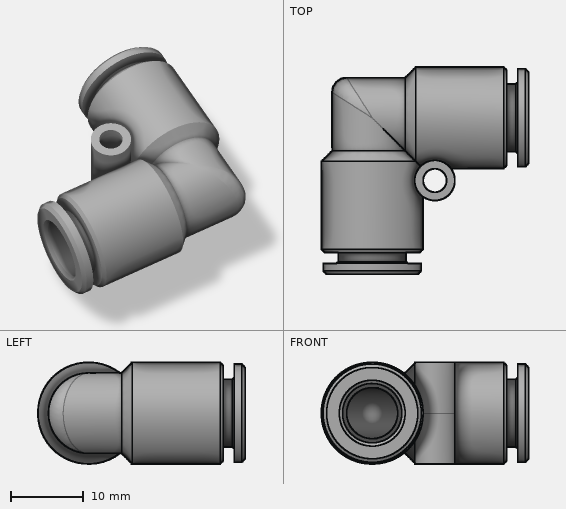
import cadquery as cq

overall_length = 28.5
body_radius = 6.997
arm_length = overall_length - body_radius

elbow_radius = 5.53
corner_fillet = 2.0

body_start = 5.98
cone_start = body_start - (body_radius - elbow_radius)
body_end = 18.5
body_chamfer = 0.45
neck_radius = 4.67
neck_flare = 0.23
collar_start = 19.98
collar_radius = 6.75
collar_chamfer = 0.48

passage_radius = 3.5
socket_radius = 4.08
socket_floor = body_start
mouth_chamfer = 0.45

eyelet_offset = 8.6
eyelet_radius = 2.76
eyelet_hole_radius = 1.6


def to_second_arm(shape):
    """Turn a shape that is round about X onto the -Y arm."""
    return shape.rotate((0, 0, 0), (0, 0, 1), -90)


def x_cylinder(radius, start, end):
    return cq.Workplane("YZ", origin=(start, 0, 0)).circle(radius).extrude(end - start)


def mitered_tubes(radius, length):
    """Two round arms of one radius, meeting in a sharp miter."""
    arm = x_cylinder(radius, 0, length)
    long_arm = x_cylinder(radius, -2 * radius, 2 * radius)
    corner = long_arm.intersect(to_second_arm(long_arm))
    return arm.union(to_second_arm(arm)).union(corner).clean()


def revolve_about_x(points):
    return cq.Workplane("XY").polyline(points).close().revolve(360, (0, 0, 0), (1, 0, 0))


def arm_shell():
    return revolve_about_x([
        (cone_start, 0),
        (cone_start, elbow_radius),
        (body_start, body_radius),
        (body_end - body_chamfer, body_radius),
        (body_end, body_radius - body_chamfer),
        (body_end, neck_radius),
        (collar_start - neck_flare, neck_radius),
        (collar_start, neck_radius + neck_flare),
        (collar_start, collar_radius),
        (arm_length - collar_chamfer, collar_radius),
        (arm_length, collar_radius - collar_chamfer),
        (arm_length, 0),
    ])


def tube_socket():
    return revolve_about_x([
        (socket_floor, 0),
        (socket_floor, socket_radius),
        (arm_length - mouth_chamfer, socket_radius),
        (arm_length, socket_radius + mouth_chamfer),
        (arm_length, 0),
    ])


def eyelet_cylinder(radius):
    return (
        cq.Workplane("XY")
        .center(eyelet_offset, -eyelet_offset)
        .circle(radius)
        .extrude(body_radius, both=True)
    )


def rounded_elbow():
    """Mitered elbow, split through the Z axis so that only its outer miter edge is rounded."""
    elbow = mitered_tubes(elbow_radius, cone_start)
    splitter_size = 4 * body_radius
    outer_side = (
        cq.Workplane("XY")
        .box(splitter_size, splitter_size, splitter_size)
        .translate((-splitter_size / 2, 0, 0))
        .rotate((0, 0, 0), (0, 0, 1), -45)
    )
    outer_corner = cq.selectors.NearestToPointSelector((-elbow_radius, elbow_radius, 0))
    outer_half = elbow.intersect(outer_side).edges(outer_corner).fillet(corner_fillet)
    return elbow.cut(outer_side).union(outer_half)


shell = arm_shell()
result = rounded_elbow().union(shell).union(to_second_arm(shell))
result = result.union(eyelet_cylinder(eyelet_radius))

socket = tube_socket()
result = result.cut(mitered_tubes(passage_radius, body_start))
result = result.cut(socket).cut(to_second_arm(socket))
result = result.cut(eyelet_cylinder(eyelet_hole_radius))